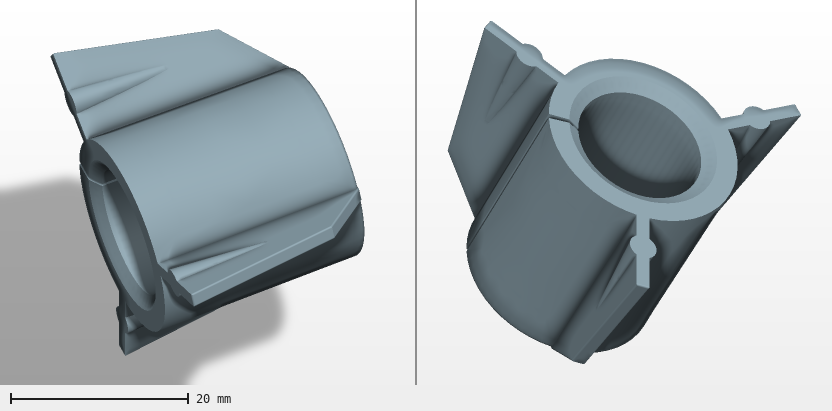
import cadquery as cq

length = 25.0
front_radius = 11.52
back_radius = 11.3
bore_radius = 7.5
bore_mouth_radius = 9.0
bore_mouth_depth = 1.0
back_rounding = 0.5
split_angle = 3.0

fin_angles = (0, 120, 240)
fin_thickness = 1.6
fin_tip_radius = 21.95
fin_knee_radius = 18.0
fin_knee_y = 19.0
fin_root_radius = (bore_radius + back_radius) / 2
fin_edge_rounding = 0.2
margin = 0.05

rib_radius = 1.62
rib_length = 12.3
rib_offset = 16.0


def make_sleeve():
    """Revolve the tapered tube wall, leaving a narrow wedge open on the -X side."""
    wall = (
        cq.Workplane("XY")
        .moveTo(-bore_mouth_radius, 0)
        .lineTo(-front_radius, 0)
        .lineTo(-back_radius, length)
        .lineTo(-bore_radius, length)
        .lineTo(-bore_radius, bore_mouth_depth)
        .close()
    )
    sleeve = wall.revolve(360 - split_angle, (0, 0, 0), (0, 1, 0))
    back_arcs = sleeve.faces(">Y").edges("%CIRCLE")
    outer_arc = max(back_arcs.vals(), key=lambda edge: edge.radius())
    return sleeve.newObject([outer_arc]).fillet(back_rounding)


def make_fin():
    """Build the fin that points down (-Z), with its rib."""
    plate = (
        cq.Workplane("YZ")
        .moveTo(0, -fin_root_radius)
        .lineTo(0, -fin_tip_radius)
        .lineTo(fin_knee_y, -fin_knee_radius)
        .lineTo(length, -back_radius)
        .lineTo(length, -fin_root_radius)
        .close()
        .extrude(fin_thickness / 2, both=True)
    )
    sloped_faces = cq.selectors.BoxSelector(
        (-fin_thickness, margin, -fin_tip_radius),
        (fin_thickness, length - margin, -back_radius - margin),
    )
    outer_faces = plate.faces(sloped_faces).faces("not |X")
    long_edges = outer_faces.edges("not |X")
    tip_edge = plate.edges("<Z")
    plate = long_edges.add(tip_edge).fillet(fin_edge_rounding)
    rib_profile = (
        cq.Workplane("XY", origin=(0, 0, -rib_offset))
        .lineTo(rib_radius, 0)
        .lineTo(fin_thickness / 2, rib_length)
        .lineTo(0, rib_length)
        .close()
    )
    rib = rib_profile.revolve(360, (0, 0, 0), (0, 1, 0))
    return plate.union(rib)


result = make_sleeve()
fin = make_fin()
for angle in fin_angles:
    result = result.union(fin.rotate((0, 0, 0), (0, 1, 0), angle))